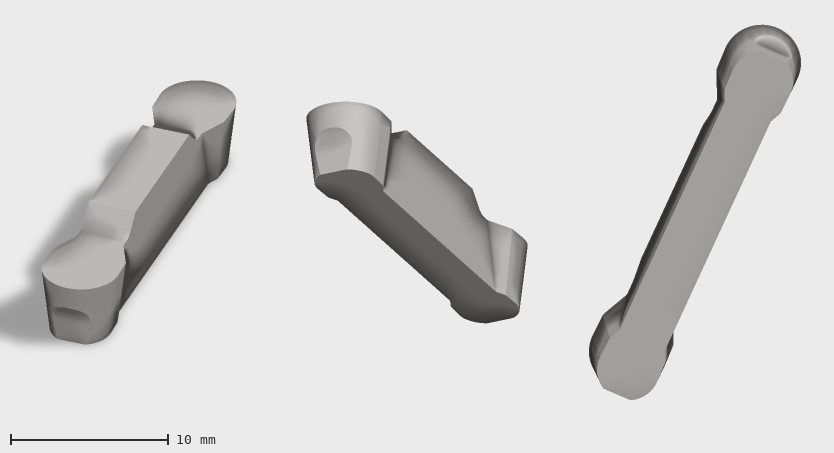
import cadquery as cq
import math

LENGTH = 25.8
HEIGHT = 5.78
SHELF_HEIGHT = 4.52

SHANK_WIDTH = 3.2
RIDGE_LENGTH = 9.6
RAMP_ANGLE = 45.0
RAMP_FOOT_RADIUS = 1.0
SHANK_END_Y = 8.77

HEAD_RADIUS = 2.5
HEAD_DRAFT = 6.5
SIDE_RELIEF = 2.0
SHOULDER_Y = 8.82
SHOULDER_RADIUS = 0.2
NECK_Y = 7.02
HEAD_ROOT_HALF_WIDTH = 1.3

NOSE_RELIEF_Y = 12.15
NOSE_FACE_HEIGHT = 1.63
NOSE_ARC_RADIUS = 1.68
NOSE_ARC_ANGLE = 60.0


def make_shank():
    half_ridge = RIDGE_LENGTH / 2
    ramp_foot = half_ridge + (HEIGHT - SHELF_HEIGHT) / math.tan(math.radians(RAMP_ANGLE))
    shank = (
        cq.Workplane("YZ")
        .polyline([
            (-SHANK_END_Y, 0),
            (SHANK_END_Y, 0),
            (SHANK_END_Y, SHELF_HEIGHT),
            (ramp_foot, SHELF_HEIGHT),
            (half_ridge, HEIGHT),
            (-half_ridge, HEIGHT),
            (-ramp_foot, SHELF_HEIGHT),
            (-SHANK_END_Y, SHELF_HEIGHT),
        ])
        .close()
        .extrude(SHANK_WIDTH / 2, both=True)
    )
    for foot_y in (-ramp_foot, ramp_foot):
        foot_edge = cq.selectors.NearestToPointSelector((0, foot_y, SHELF_HEIGHT))
        shank = shank.edges(foot_edge).fillet(RAMP_FOOT_RADIUS)
    return shank


def make_head():
    """Drafted head at the +Y end, extruded downward from its top face."""
    relief = math.radians(SIDE_RELIEF)
    center_y = LENGTH / 2 - HEAD_RADIUS
    tangent_x = HEAD_RADIUS * math.cos(relief)
    tangent_y = center_y - HEAD_RADIUS * math.sin(relief)
    shoulder_x = tangent_x - (tangent_y - SHOULDER_Y) * math.tan(relief)
    neck_slope = (SHOULDER_Y - NECK_Y) / (shoulder_x - SHANK_WIDTH / 2)
    root_y = NECK_Y - (SHANK_WIDTH / 2 - HEAD_ROOT_HALF_WIDTH) * neck_slope
    head = (
        cq.Workplane("XY", origin=(0, 0, SHELF_HEIGHT))
        .moveTo(-HEAD_ROOT_HALF_WIDTH, root_y)
        .lineTo(HEAD_ROOT_HALF_WIDTH, root_y)
        .lineTo(shoulder_x, SHOULDER_Y)
        .lineTo(tangent_x, tangent_y)
        .threePointArc((0, LENGTH / 2), (-tangent_x, tangent_y))
        .lineTo(-shoulder_x, SHOULDER_Y)
        .close()
        .extrude(-SHELF_HEIGHT, taper=HEAD_DRAFT)
    )
    for side in (-1, 1):
        shoulder_edge = cq.selectors.NearestToPointSelector(
            (side * shoulder_x, SHOULDER_Y, SHELF_HEIGHT / 2)
        )
        head = head.edges(shoulder_edge).fillet(SHOULDER_RADIUS)
    return head.cut(make_nose_relief())


def make_nose_relief():
    """Cutter with a vertical face that curves outward at its top."""
    def arc_point(angle):
        return (
            NOSE_RELIEF_Y + NOSE_ARC_RADIUS * (1 - math.cos(angle)),
            NOSE_FACE_HEIGHT + NOSE_ARC_RADIUS * math.sin(angle),
        )

    arc_angle = math.radians(NOSE_ARC_ANGLE)
    arc_end = arc_point(arc_angle)
    return (
        cq.Workplane("YZ")
        .moveTo(NOSE_RELIEF_Y, 0)
        .lineTo(NOSE_RELIEF_Y, NOSE_FACE_HEIGHT)
        .threePointArc(arc_point(arc_angle / 2), arc_end)
        .lineTo(arc_end[0], 0)
        .close()
        .extrude(HEAD_RADIUS, both=True)
    )


head = make_head()
result = make_shank().union(head).union(head.mirror("XZ"))